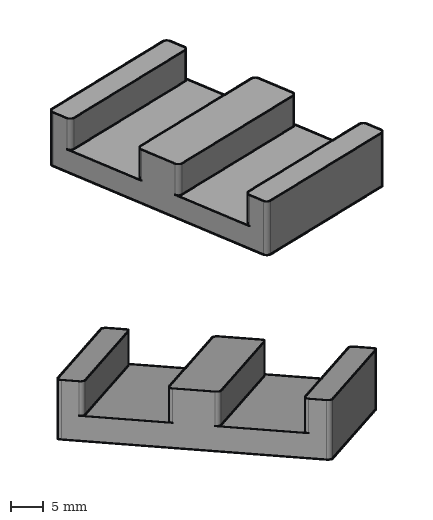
import cadquery as cq

length = 43.2
depth = 27.9
height = 9.5

base_height = 4.0
side_rib_width = 4.3
middle_rib_width = 8.2
corner_radius = 0.78

rib_height = height - base_height
side_rib_offset = (length - side_rib_width) / 2


def rounded_bar(width, bar_height):
    """Upright bar centred on the origin, with its vertical edges rounded."""
    bar = cq.Workplane("XY").box(width, depth, bar_height, centered=(True, True, False))
    return bar.edges("|Z").fillet(corner_radius)


result = rounded_bar(length, base_height)

ribs = [
    (-side_rib_offset, side_rib_width),
    (0, middle_rib_width),
    (side_rib_offset, side_rib_width),
]
for x_center, width in ribs:
    rib = rounded_bar(width, rib_height).translate((x_center, 0, base_height))
    result = result.union(rib)